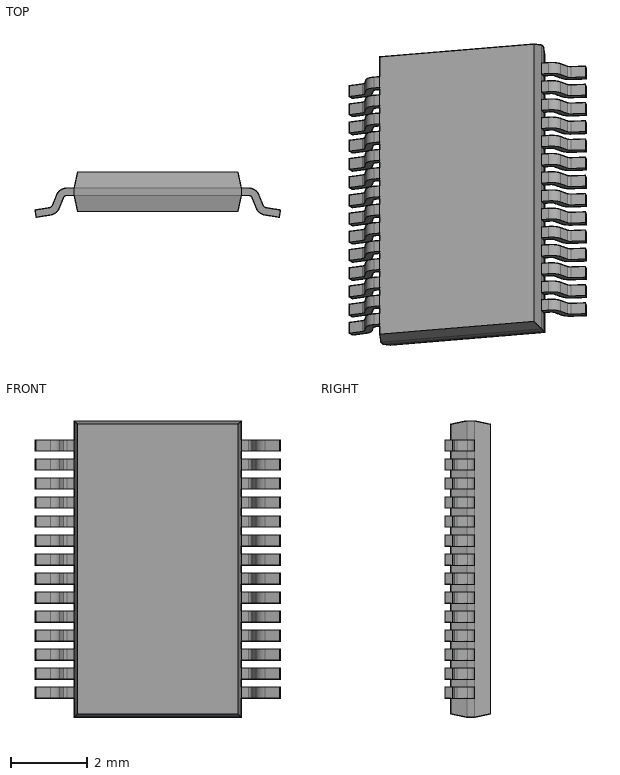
import cadquery as cq
import math

BODY_WIDTH = 4.4
BODY_LENGTH = 7.8
BODY_THICKNESS = 1.05
DRAFT_ANGLE = 12.0

LEAD_THICKNESS = 0.2
LEAD_WIDTH = 0.3
LEAD_PITCH = 0.5
LEADS_PER_SIDE = 14
LEAD_SPAN = 6.46
BEND_RADIUS = 0.2
LEG_ANGLE = 68.0
FOOT_ANGLE = 9.0
FOOT_LENGTH = 0.385
STANDOFF = 0.15
ROOT_OVERLAP = 0.1

BAND_THICKNESS = LEAD_THICKNESS
BAND_MIDDLE = STANDOFF + BODY_THICKNESS / 2
HALF_DEPTH = (BODY_THICKNESS - BAND_THICKNESS) / 2


def along(point, angle, length):
    """Point reached by going outward from a point, heading down at an angle in degrees."""
    slope = math.radians(angle)
    return (point[0] + length * math.cos(slope), point[1] - length * math.sin(slope))


def bend_step(start_angle, end_angle):
    """Outward travel and drop of a bend between two headings."""
    start = math.radians(start_angle)
    end = math.radians(end_angle)
    travel = BEND_RADIUS * abs(math.sin(end) - math.sin(start))
    drop = BEND_RADIUS * abs(math.cos(end) - math.cos(start))
    return travel, drop


def make_body():
    """Middle band with both drafted halves."""
    body = (
        cq.Workplane("XZ")
        .workplane(offset=-BAND_MIDDLE)
        .rect(BODY_WIDTH, BODY_LENGTH)
        .extrude(BAND_THICKNESS / 2, both=True)
    )
    for face in ("<Y", ">Y"):
        half = (
            body.faces(face)
            .workplane(centerOption="CenterOfBoundBox")
            .rect(BODY_WIDTH, BODY_LENGTH)
            .extrude(HALF_DEPTH, taper=DRAFT_ANGLE, combine=False)
        )
        body = body.union(half, clean=False)
    return body


def make_lead():
    """One +X lead centred on Z = 0: a strip swept along its bent centreline."""
    shoulder_travel, shoulder_drop = bend_step(0, LEG_ANGLE)
    ankle_travel, ankle_drop = bend_step(LEG_ANGLE, FOOT_ANGLE)
    foot_slope = math.radians(FOOT_ANGLE)

    tip = (
        LEAD_SPAN / 2 - LEAD_THICKNESS / 2 * math.sin(foot_slope),
        LEAD_THICKNESS / 2 * math.cos(foot_slope),
    )
    ankle_end = along(tip, FOOT_ANGLE, -FOOT_LENGTH)
    leg_end = (ankle_end[0] - ankle_travel, ankle_end[1] + ankle_drop)
    leg_drop = BAND_MIDDLE - shoulder_drop - leg_end[1]
    leg_start = along(leg_end, LEG_ANGLE, -leg_drop / math.sin(math.radians(LEG_ANGLE)))
    shoulder_start = (leg_start[0] - shoulder_travel, BAND_MIDDLE)
    root = (BODY_WIDTH / 2 - ROOT_OVERLAP, BAND_MIDDLE)

    centreline = (
        cq.Workplane("XY")
        .moveTo(*root)
        .lineTo(*shoulder_start)
        .tangentArcPoint(leg_start, relative=False)
        .lineTo(*leg_end)
        .tangentArcPoint(ankle_end, relative=False)
        .lineTo(*tip)
    )
    section = cq.Workplane("YZ", origin=(*root, 0)).rect(LEAD_THICKNESS, LEAD_WIDTH)
    return section.sweep(centreline)


def make_part():
    """Body with a row of leads along each long side."""
    part = make_body()
    right_lead = make_lead()
    left_lead = right_lead.rotate((0, 0, 0), (0, 1, 0), 180)
    for index in range(LEADS_PER_SIDE):
        height = (index - (LEADS_PER_SIDE - 1) / 2) * LEAD_PITCH
        for lead in (right_lead, left_lead):
            part = part.union(lead.translate((0, 0, height)), clean=False)
    return part


result = make_part()